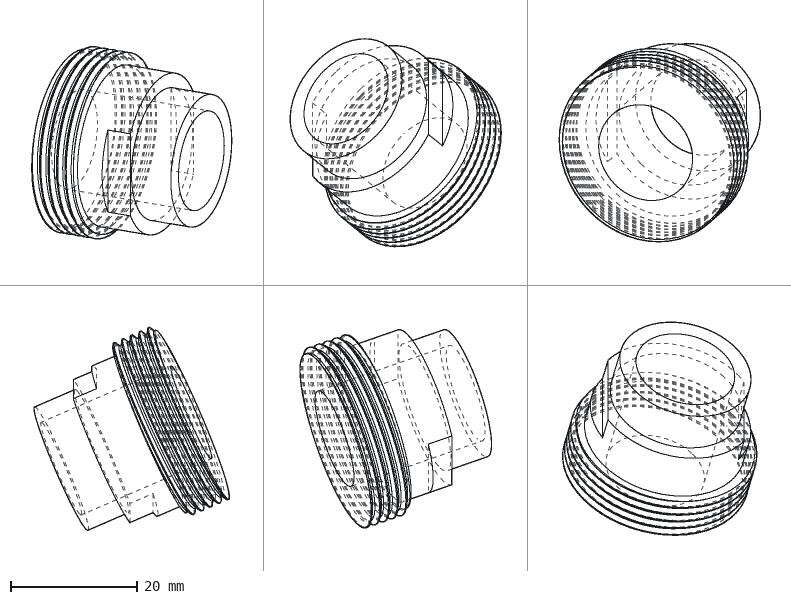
import cadquery as cq
import math

total_length = 22.5
thread_length = 7.1
flat_start = 11.5
body_end = 15.5

thread_diameter = 30.0
body_diameter = 25.98
spigot_diameter = 21.3
bore_diameter = 16.0
across_flats = 22.02

pitch = 1.5
flank_half_angle = math.radians(30)
crest_width = pitch / 8
root_width = pitch / 4
thread_depth = (pitch - crest_width - root_width) / (2 * math.tan(flank_half_angle))
crest_radius = thread_diameter / 2
root_radius = crest_radius - thread_depth
crest_position = 0.42
root_overlap = 0.05
spare_turns = 2


def cylinder(diameter, start, end):
    """Cylinder on the X axis between two positions."""
    return cq.Workplane("YZ", origin=(start, 0, 0)).circle(diameter / 2).extrude(end - start)


def thread_ridge():
    """Helical ridge trimmed flush with both ends of the threaded length."""
    helix_start = crest_position - spare_turns * pitch
    turns = math.ceil(thread_length / pitch) + 2 * spare_turns
    path = cq.Wire.makeHelix(pitch, turns * pitch, root_radius, cq.Vector(0, 0, helix_start))
    foot_radius = root_radius - root_overlap
    foot_half = (pitch - root_width) / 2 + root_overlap * math.tan(flank_half_angle)
    crest_half = crest_width / 2
    ridge = (
        cq.Workplane("XZ")
        .moveTo(foot_radius, helix_start - foot_half)
        .lineTo(crest_radius, helix_start - crest_half)
        .lineTo(crest_radius, helix_start + crest_half)
        .lineTo(foot_radius, helix_start + foot_half)
        .close()
        .sweep(cq.Workplane(path), isFrenet=True)
    )
    ridge = ridge.rotate((0, 0, 0), (0, 1, 0), 90)
    return ridge.intersect(cylinder(thread_diameter + pitch, 0, thread_length))


def wrench_flats(body):
    """Cut two parallel flats, on the -Y and +Y sides, at the rear of the body."""
    flat_length = body_end - flat_start
    keep = cq.Workplane("XY").box(flat_length, across_flats, body_diameter)
    keep = keep.translate(((flat_start + body_end) / 2, 0, 0))
    front = cylinder(body_diameter, 0, flat_start)
    return front.union(body.intersect(keep))


core = cylinder(2 * root_radius, 0, thread_length)
body = wrench_flats(cylinder(body_diameter, 0, body_end))
spigot = cylinder(spigot_diameter, 0, total_length)
bore = cylinder(bore_diameter, 0, total_length)

threaded_collar = core.union(thread_ridge())
result = threaded_collar.union(body).union(spigot).cut(bore)